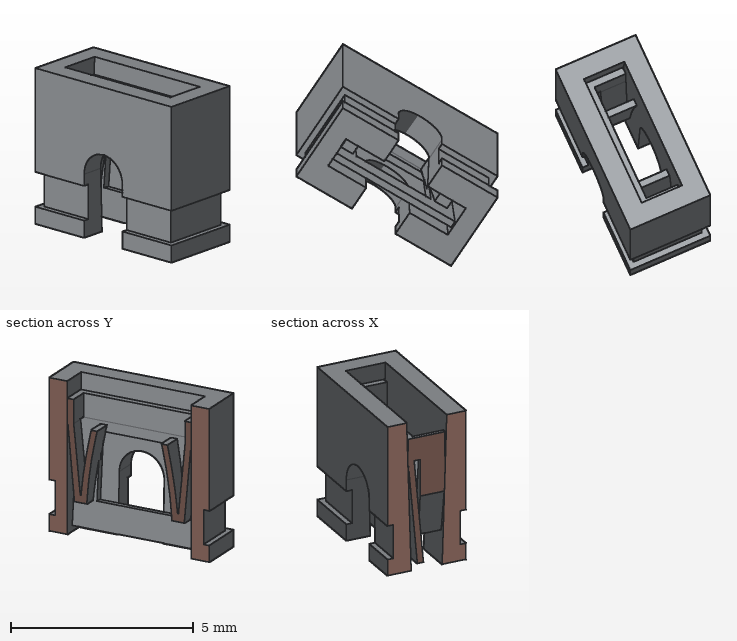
import cadquery as cq
import math

length = 5.0
width = 2.4
height = 4.5
flange_height = 0.5
neck_top = 1.5
neck_inset = 0.175
cavity_length = 3.86
cavity_width = 1.21
cavity_draft = 0.14
arch_width = 1.4
arch_top = 2.55

sheet = 0.2
clip_top = 4.0
clip_back = 0.575
clip_front = -0.56
bend_height = 3.3
lean_angle = 5.2
plate_bottom = 0.18
window_width = 2.4
window_bottom = 1.0
window_top = 3.0
hairpin_height = 1.0
spring_top = 3.2
spring_tip_half_gap = 0.995
side_wall_back = 0.2

lean = math.tan(math.radians(lean_angle))
clip_half_length = cavity_length / 2


def make_cavity():
    half_top = cavity_width / 2
    half_bottom = half_top - cavity_draft
    return (
        cq.Workplane("YZ")
        .polyline([(-half_bottom, 0), (half_bottom, 0), (half_top, height), (-half_top, height)])
        .close()
        .extrude(cavity_length / 2, both=True)
    )


def make_housing():
    bottom_centered = (True, True, False)
    flange = cq.Workplane().box(length, width, flange_height, centered=bottom_centered)
    neck = cq.Workplane().workplane(offset=flange_height).box(
        length - 2 * neck_inset, width - 2 * neck_inset, neck_top - flange_height, centered=bottom_centered
    )
    upper = cq.Workplane().workplane(offset=neck_top).box(
        length, width, height - neck_top, centered=bottom_centered
    )
    radius = arch_width / 2
    arch_spring = arch_top - radius
    arch = (
        cq.Workplane("XZ")
        .moveTo(-radius, 0)
        .lineTo(-radius, arch_spring)
        .threePointArc((0, arch_top), (radius, arch_spring))
        .lineTo(radius, 0)
        .close()
        .extrude(width / 2, both=True)
    )
    return flange.union(neck).union(upper).cut(make_cavity()).cut(arch)


def make_back_plate():
    shift = (bend_height - plate_bottom) * lean
    front = clip_back - sheet
    edge_drop = sheet * lean
    plate = (
        cq.Workplane("YZ")
        .polyline([
            (clip_back, clip_top),
            (clip_back, bend_height),
            (clip_back - shift, plate_bottom),
            (front - shift, plate_bottom),
            (front, bend_height),
            (front, clip_top),
        ])
        .close()
        .extrude(clip_half_length, both=True)
    )
    sill_front = front - (bend_height - window_bottom) * lean
    window = (
        cq.Workplane("YZ")
        .polyline([
            (sill_front, window_bottom),
            (sill_front + 2 * sheet, window_bottom - 2 * edge_drop),
            (sill_front + 2 * sheet, window_top),
            (sill_front, window_top),
        ])
        .close()
        .extrude(window_width / 2, both=True)
    )
    return plate.cut(window)


def make_right_spring():
    """Side wall with a curved leaf spring rising inward from its foot."""
    shift = (bend_height - hairpin_height) * lean
    wall_inner = clip_half_length - sheet
    foot_inner = wall_inner - shift
    tip_outer = spring_tip_half_gap + sheet
    leaf_rise = spring_top - hairpin_height
    bow_height = hairpin_height + leaf_rise / 2
    bow = 0.05
    middle_outer = (foot_inner + tip_outer) / 2 + bow
    fork_height = hairpin_height + sheet
    spring = (
        cq.Workplane("XZ", origin=(0, clip_front, 0))
        .moveTo(clip_half_length, clip_top)
        .lineTo(clip_half_length, bend_height)
        .lineTo(clip_half_length - shift, hairpin_height)
        .lineTo(foot_inner - sheet, hairpin_height)
        .threePointArc((middle_outer - sheet, bow_height), (spring_tip_half_gap, spring_top))
        .lineTo(tip_outer, spring_top)
        .threePointArc((middle_outer, bow_height), (foot_inner, fork_height))
        .lineTo(wall_inner, bend_height)
        .lineTo(wall_inner, clip_top)
        .close()
        .extrude(clip_front - clip_back + sheet)
    )
    corner_relief = cq.Workplane("XY", origin=(foot_inner, side_wall_back, hairpin_height)).box(
        clip_half_length - foot_inner,
        clip_back - side_wall_back,
        bend_height - hairpin_height,
        centered=False,
    )
    return spring.cut(corner_relief)


def make_clip():
    right_spring = make_right_spring()
    left_spring = right_spring.mirror("YZ")
    sheet_body = make_back_plate().union(right_spring).union(left_spring)
    return sheet_body.intersect(make_cavity())


housing = make_housing()
clip = make_clip()
result = cq.Compound.makeCompound([housing.val(), clip.val()])